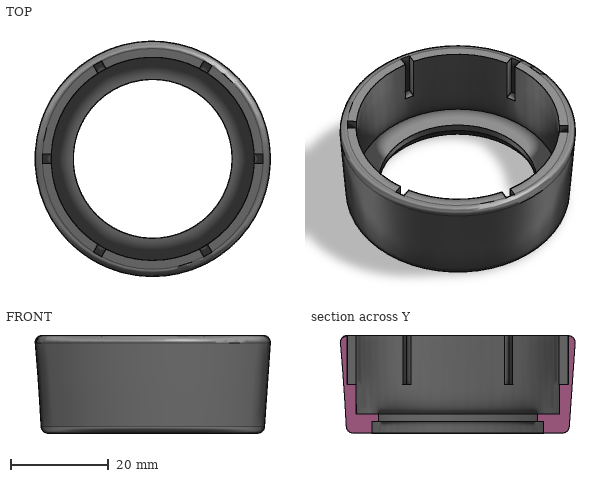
import cadquery as cq
import math

max_diameter = 48.05
height = 20.0
taper_angle = math.radians(4.0)
edge_radius = 1.5

cavity_diameter = 41.5
opening_diameter = 32.4
recess_diameter = 35.0
floor_height = 4.0
lip_thickness = 1.6

groove_count = 6
groove_width = 1.9
groove_depth = 10.0
groove_outer_radius = max_diameter / 2 - edge_radius

round_center_radius = max_diameter / 2 - edge_radius
top_radius = round_center_radius + edge_radius * (1 + math.sin(taper_angle)) / math.cos(taper_angle)
bottom_radius = top_radius - height * math.tan(taper_angle)


def make_shell():
    """Solid cone, wider at the top, with both outer edges rounded."""
    cone = (
        cq.Workplane("XZ")
        .polyline([(0, 0), (bottom_radius, 0), (top_radius, height), (0, height)])
        .close()
        .revolve(360, (0, 0, 0), (0, 1, 0))
    )
    return cone.faces("<Z or >Z").edges().fillet(edge_radius)


def cylinder(diameter, bottom, top):
    return cq.Workplane("XY").workplane(offset=bottom).circle(diameter / 2).extrude(top - bottom)


def make_groove(angle):
    """Cutter for one vertical groove, open at the rim and into the cavity."""
    inner_radius = opening_diameter / 2
    radial_length = groove_outer_radius - inner_radius
    return (
        cq.Workplane("XY")
        .box(radial_length, groove_width, groove_depth, centered=(False, True, False))
        .translate((inner_radius, 0, height - groove_depth))
        .rotate((0, 0, 0), (0, 0, 1), angle)
    )


result = make_shell()
result = result.cut(cylinder(cavity_diameter, floor_height, height))
result = result.cut(cylinder(opening_diameter, 0, floor_height))
result = result.cut(cylinder(recess_diameter, 0, floor_height - lip_thickness))
for index in range(groove_count):
    result = result.cut(make_groove(index * 360 / groove_count))